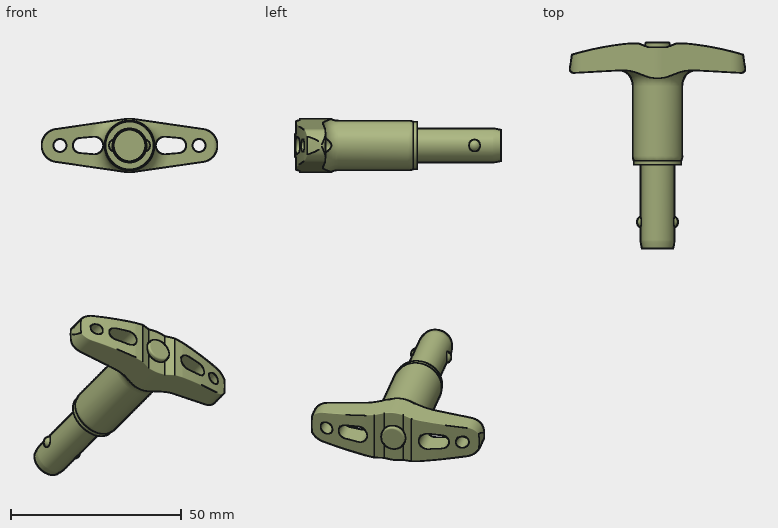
import cadquery as cq
import math


overall_length = 60.4

pin_radius = 5.0
pin_length = 24.5
tip_radius = 4.6
tip_length = 2.4
tip_bulge = 0.09

ball_radius = 1.8
ball_reach = 6.05
ball_y = -16.75

collar_radius = 7.0
collar_length = 1.25
sleeve_radius = 7.3
sleeve_round_y = 2.7
sleeve_bulge = 0.1
flare_y = 23.25
flare_radius = 4.4

half_length = 51.5 / 2
hub_radius = 15.75 / 2
end_radius = 4.9
end_x = half_length - end_radius

underside_lean = math.radians(3.5)
end_round = 1.2
end_taper = math.radians(8.6)

upper_end_y = 32.1
upper_mid_x = 16.3
upper_mid_y = 34.4
crown_outer_x = 8.15
crown_inner_x = 5.55
crown_y = 35.6
dip_x = 2.8
dip_y = 34.5
edge_round = 0.2

hole_x = 20.35
hole_radius = 1.9
slot_outer_x = 14.4
slot_outer_radius = 2.2
slot_inner_x = 10.25
slot_inner_radius = 2.55

button_radius = 3.6
button_round = 0.55
button_top_y = overall_length - pin_length


def tapered_outline(inner_x, inner_radius, outer_x, outer_radius):
    """XZ outline wrapped around two circles on the X axis, the larger one nearer the pin."""
    lean = math.asin((inner_radius - outer_radius) / (outer_x - inner_x))
    inner_tangent_x = inner_x + inner_radius * math.sin(lean)
    inner_tangent_z = inner_radius * math.cos(lean)
    outer_tangent_x = outer_x + outer_radius * math.sin(lean)
    outer_tangent_z = outer_radius * math.cos(lean)
    return (
        cq.Workplane("XZ")
        .moveTo(inner_tangent_x, inner_tangent_z)
        .lineTo(outer_tangent_x, outer_tangent_z)
        .threePointArc((outer_x + outer_radius, 0), (outer_tangent_x, -outer_tangent_z))
        .lineTo(inner_tangent_x, -inner_tangent_z)
        .threePointArc((inner_x - inner_radius, 0), (inner_tangent_x, inner_tangent_z))
        .close()
    )


def raise_outline(outline):
    """Extrude an XZ outline along +Y, from the shoulder to beyond the handle."""
    return outline.extrude(-button_top_y)


def with_mirror(half):
    """Join a +X half with its mirror image."""
    return half.union(half.mirror("YZ"))


def revolve_about_pin(profile):
    return profile.revolve(360, (0, 0, 0), (0, 1, 0))


def make_pin():
    """Straight pin with a rounded-in tip."""
    tip_y = -pin_length
    tip_mid = ((pin_radius + tip_radius) / 2 + tip_bulge, tip_y + tip_length / 2)
    return revolve_about_pin(
        cq.Workplane("XY")
        .moveTo(0, tip_y)
        .lineTo(tip_radius, tip_y)
        .threePointArc(tip_mid, (pin_radius, tip_y + tip_length))
        .lineTo(pin_radius, collar_length)
        .lineTo(0, collar_length)
        .close()
    )


def make_turned_blank():
    """Collar, sleeve, flare, conical underside and tapered ends as one turned body."""
    round_mid_x = (sleeve_radius + collar_radius) / 2 + sleeve_bulge
    round_mid_y = (collar_length + sleeve_round_y) / 2
    flare_end_x = sleeve_radius + flare_radius * (1 + math.sin(underside_lean))
    flare_end_y = flare_y + flare_radius * math.cos(underside_lean)
    rim_x = half_length - end_round
    rim_y = flare_end_y - (rim_x - flare_end_x) * math.tan(underside_lean)
    widest_y = rim_y + end_round
    blank_top_x = half_length - (button_top_y - widest_y) * math.tan(end_taper)
    return revolve_about_pin(
        cq.Workplane("XY")
        .lineTo(collar_radius, 0)
        .lineTo(collar_radius, collar_length)
        .threePointArc((round_mid_x, round_mid_y), (sleeve_radius, sleeve_round_y))
        .lineTo(sleeve_radius, flare_y)
        .radiusArc((flare_end_x, flare_end_y), flare_radius)
        .lineTo(rim_x, rim_y)
        .radiusArc((half_length, widest_y), -end_round)
        .lineTo(blank_top_x, button_top_y)
        .lineTo(0, button_top_y)
        .close()
    )


def make_plan():
    """Column with the handle's outline as seen along the pin axis."""
    hub = raise_outline(cq.Workplane("XZ").circle(hub_radius))
    arm = raise_outline(tapered_outline(0, hub_radius, end_x, end_radius))
    return hub.union(with_mirror(arm))


def make_upper_profile():
    """Block below the upper face: arched arms, level crowns and a dip in the middle."""
    half = (
        cq.Workplane("XY")
        .lineTo(half_length, 0)
        .lineTo(half_length, upper_end_y)
        .threePointArc((upper_mid_x, upper_mid_y), (crown_outer_x, crown_y))
        .lineTo(crown_inner_x, crown_y)
        .lineTo(dip_x, dip_y)
        .lineTo(0, dip_y)
        .close()
        .extrude(half_length, both=True)
    )
    return with_mirror(half)


def is_long_upper_edge(edge):
    """True where the upper face meets the sides of the handle, but not its tapered ends."""
    lies_on_top = edge.BoundingBox().ymin > upper_end_y
    middle = edge.Center()
    return lies_on_top and abs(middle.x) < half_length - end_round and abs(middle.z) > edge_round


def make_handle():
    """Sleeve and handle in one, with the long upper edges rounded."""
    handle = make_turned_blank().intersect(make_plan()).intersect(make_upper_profile())
    upper_edges = [edge for edge in handle.edges().vals() if is_long_upper_edge(edge)]
    return handle.newObject(upper_edges).fillet(edge_round)


def make_openings():
    """Round hole and tapered slot through each arm of the handle."""
    hole = raise_outline(cq.Workplane("XZ").center(hole_x, 0).circle(hole_radius))
    slot = raise_outline(
        tapered_outline(slot_inner_x, slot_inner_radius, slot_outer_x, slot_outer_radius)
    )
    return with_mirror(hole.union(slot))


def make_button():
    """Release button standing in the dip of the handle."""
    return (
        cq.Workplane("XZ", origin=(0, flare_y, 0))
        .circle(button_radius)
        .extrude(flare_y - button_top_y)
        .faces(">Y")
        .edges()
        .fillet(button_round)
    )


def make_ball():
    """Locking ball on the +X side, partly sunk in the pin."""
    return cq.Workplane("XY").sphere(ball_radius).translate((ball_reach - ball_radius, ball_y, 0))


result = (
    make_handle()
    .cut(make_openings())
    .union(make_pin())
    .union(with_mirror(make_ball()))
    .union(make_button())
)